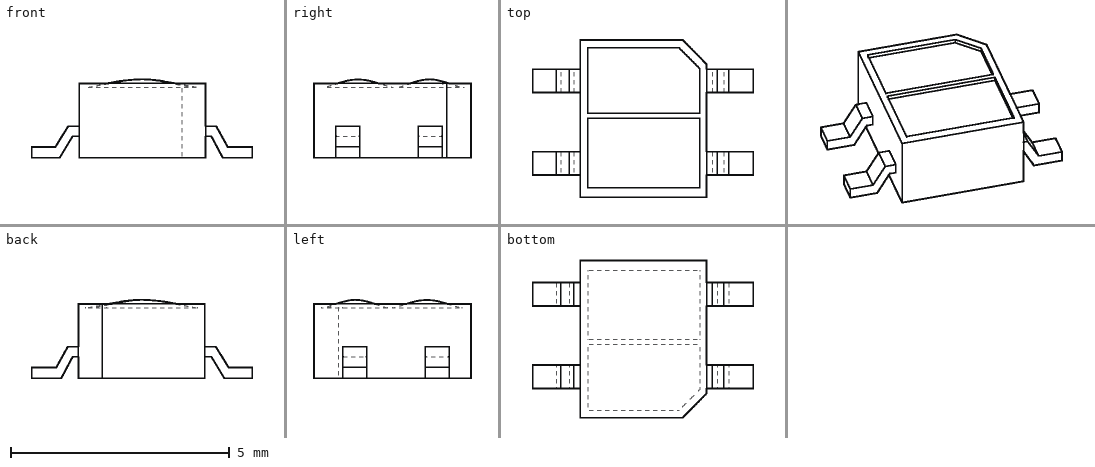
import cadquery as cq

BODY_LENGTH = 2.895
BODY_WIDTH = 3.6
BODY_HEIGHT = 1.705
BODY_CHAMFER_X = 0.55
BODY_CHAMFER_Y = 0.56

LEFT_WALL = 0.17
RIGHT_WALL = 0.16
BACK_WALL = 0.175
FRONT_WALL = 0.22
RIB_THICKNESS = 0.115
BACK_POCKET_WIDTH = 1.5
POCKET_CHAMFER = 0.48
POCKET_DEPTH = 0.09

TOTAL_HEIGHT = 1.8

LEAD_WIDTH = 0.54
LEAD_PITCH = 1.885
BACK_LEAD_Y = 0.86
FOOT_THICKNESS = 0.25
SHOULDER_TOP = 0.725
SHOULDER_UNDERSIDE = 0.495
OVERALL_LENGTH = 5.04
LEFT_REACH = 1.085
RIGHT_REACH = OVERALL_LENGTH - BODY_LENGTH - LEFT_REACH

HALF_LENGTH = BODY_LENGTH / 2
HALF_WIDTH = BODY_WIDTH / 2
POCKET_FLOOR = BODY_HEIGHT - POCKET_DEPTH
TOLERANCE = 5.04e-05


def outline(left, right, front, back, chamfer_x=0, chamfer_y=0):
    """Corner points of a rectangle whose back right corner may be cut off."""
    points = [(left, front), (right, front)]
    if chamfer_x:
        points += [(right, back - chamfer_y), (right - chamfer_x, back)]
    else:
        points.append((right, back))
    points.append((left, back))
    return points


def prism(points, bottom, height):
    return cq.Workplane("XY").workplane(offset=bottom).polyline(points).close().extrude(height)


def lens_skin(floor):
    """Smooth dome spanning the edges of a flat pocket floor and rising to its peak."""
    box = floor.BoundingBox()
    peak = cq.Vector(box.center.x, box.center.y, TOTAL_HEIGHT)
    return cq.Face.makeNSidedSurface(floor.outerWire().Edges(), [peak])


def is_pocket_floor(face):
    box = face.BoundingBox()
    return abs(box.zmin - POCKET_FLOOR) < TOLERANCE and abs(box.zmax - POCKET_FLOOR) < TOLERANCE


def lead(side, center_y, reach, foot_top_start, foot_bottom_start, shoulder_end, underside_end):
    """Bent lead; side is -1 or 1 and the distances run outward from the body face."""
    profile = [
        (0, SHOULDER_TOP),
        (shoulder_end, SHOULDER_TOP),
        (foot_top_start, FOOT_THICKNESS),
        (reach, FOOT_THICKNESS),
        (reach, 0),
        (foot_bottom_start, 0),
        (underside_end, SHOULDER_UNDERSIDE),
        (0, SHOULDER_UNDERSIDE),
    ]
    points = [(side * (HALF_LENGTH + distance), z) for distance, z in profile]
    plane = cq.Workplane("XZ", origin=(0, center_y, 0))
    return plane.polyline(points).close().extrude(LEAD_WIDTH / 2, both=True)


body_outline = outline(
    -HALF_LENGTH, HALF_LENGTH, -HALF_WIDTH, HALF_WIDTH, BODY_CHAMFER_X, BODY_CHAMFER_Y
)
result = prism(body_outline, 0, BODY_HEIGHT)

pocket_left = LEFT_WALL - HALF_LENGTH
pocket_right = HALF_LENGTH - RIGHT_WALL
back_pocket_back = HALF_WIDTH - BACK_WALL
back_pocket_front = back_pocket_back - BACK_POCKET_WIDTH
front_pocket_back = back_pocket_front - RIB_THICKNESS
front_pocket_front = FRONT_WALL - HALF_WIDTH

back_pocket = outline(
    pocket_left, pocket_right, back_pocket_front, back_pocket_back, POCKET_CHAMFER, POCKET_CHAMFER
)
front_pocket = outline(pocket_left, pocket_right, front_pocket_front, front_pocket_back)

for pocket in (back_pocket, front_pocket):
    result = result.cut(prism(pocket, POCKET_FLOOR, POCKET_DEPTH))

for lead_y in (BACK_LEAD_Y, BACK_LEAD_Y - LEAD_PITCH):
    left_lead = lead(
        -1, lead_y, LEFT_REACH,
        foot_top_start=0.545, foot_bottom_start=0.445, shoulder_end=0.25, underside_end=0.145,
    )
    right_lead = lead(
        1, lead_y, RIGHT_REACH,
        foot_top_start=0.505, foot_bottom_start=0.39, shoulder_end=0.24, underside_end=0.125,
    )
    result = result.union(left_lead).union(right_lead)

faces = [lens_skin(face) if is_pocket_floor(face) else face for face in result.val().Faces()]
solid = cq.Solid.makeSolid(cq.Shell.makeShell(faces)).fix()
result = cq.Workplane(solid)